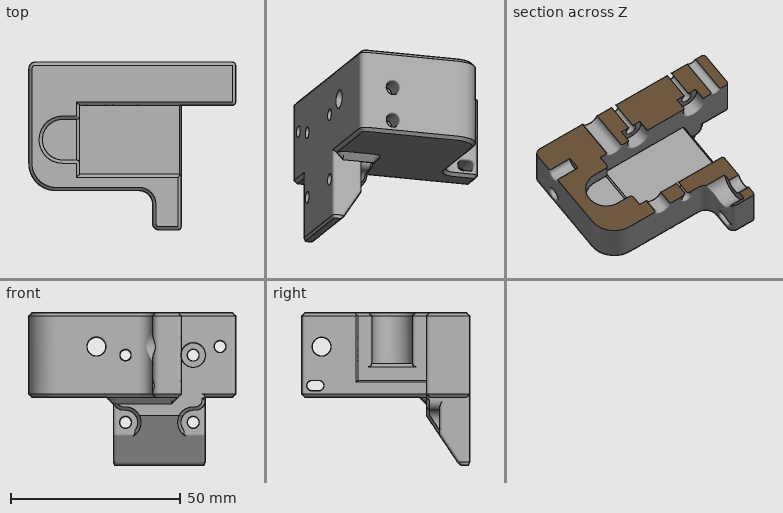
import cadquery as cq
import math


length = 61.1
height = 25.0
edge = 1.0
back_wall = 12.8
front_depth = 38.0
arm_depth = 49.6
arm_left = 36.5
arm_right = 45.0
left_front_radius = 8.0
arm_root_radius = 4.0
corner = 1.05
small_radius = 2.0

pocket_left = 15.0
pocket_front = 33.05
floor_height = 5.0
pocket_edge = 0.5
slot_radius = 6.0
slot_center_x = 10.0
slot_floor = 10.0
slot_center_depth = (back_wall + pocket_front) / 2

tail_center = 38.55
tail_width = 27.1
tail_drop = 20.05
tail_left = tail_center - tail_width / 2
tail_overlap = 3.0
slope_top = -5.3
tail_tip_depth = 3.0
tip_inset = 0.35
tail_slope = (back_wall - tail_tip_depth) / (tail_drop + slope_top)

gusset_drop = 2.0

screw_pitch = 20.0
screw_dia = 3.4
access_dia = 3.2
screw_head_dia = 7.2
screw_head_depth = 3.9
screw_xs = (tail_center - screw_pitch / 2, tail_center + screw_pitch / 2)
block_screw_z = 12.45
tail_screw_z = -7.4
recess_depth = back_wall - screw_head_depth
recess_flare = 3.0
rim = 0.5

pin_left_x = 20.0
pin_right_x = 56.45
pin_z = 14.95
pin_left_dia = 5.5
pin_right_dia = 3.4

side_hole_dia = 4.0
side_hole_rim = 0.6
side_hole_length = 7.3
side_hole_at = 10.0
side_hole_heights = (4.0, 14.0)

arm_bore_at = 43.75
arm_bore_z = 14.95
arm_bore_dia = 5.5
arm_head_dia = 10.0
arm_head_depth = 5.0
arm_head_rim = 0.3
arm_slot_at = 45.55
arm_slot_z = 3.5
arm_slot_width = 3.0
arm_slot_pitch = 2.0
arm_slot_rim = 0.6


def edge_near(body, x, depth, z):
    """Edge of the body whose middle is nearest to a point."""
    return body.edges(cq.selectors.NearestToPointSelector((x, -depth, z)))


def cylinder_back(x, z, depth, dia, reach):
    """Cylinder that starts at a depth and runs back (+Y)."""
    return cq.Workplane(cq.Solid.makeCylinder(
        dia / 2, reach, cq.Vector(x, -depth, z), cq.Vector(0, 1, 0)))


def drill_back(body, x, z, depth, dia, reach):
    """Hole that runs back from a front-facing surface, with a rounded rim."""
    drilled_body = body.cut(cylinder_back(x, z, depth, dia, reach))
    return edge_near(drilled_body, x, depth, z).fillet(rim)


def round_arm_rim(body, depth, z, width, tall, radius):
    """Round the edges where an opening of a given size meets the arm's left side."""
    mouth = cq.selectors.BoxSelector(
        (arm_left - arm_root_radius, -depth - width / 2 - rim, z - tall / 2 - rim),
        (arm_left + small_radius / 2, -depth + width / 2 + rim, z + tall / 2 + rim),
    )
    return body.edges(mouth).fillet(radius)


def make_block():
    """Solid block: outline with rounded corners and a chamfered underside."""
    body = (
        cq.Workplane("XY")
        .polyline([
            (0, 0), (length, 0), (length, -back_wall), (arm_right, -back_wall),
            (arm_right, -arm_depth), (arm_left, -arm_depth),
            (arm_left, -front_depth), (0, -front_depth),
        ])
        .close()
        .extrude(height)
    )
    corners = [
        (0, 0, small_radius),
        (length, 0, corner),
        (length, back_wall, corner),
        (arm_right, arm_depth, corner),
        (arm_left, arm_depth, small_radius),
        (arm_left, front_depth, arm_root_radius),
        (0, front_depth, left_front_radius),
    ]
    for x, depth, radius in corners:
        body = edge_near(body, x, depth, height / 2).fillet(radius)
    return body.faces("<Z").chamfer(edge)


def cut_pocket(body):
    """Pocket open to the top and right, with a round-ended slot in its left wall."""
    pocket = (
        cq.Workplane("XY")
        .box(length, pocket_front - back_wall, height, centered=False)
        .translate((pocket_left, -pocket_front, floor_height))
    )
    slot = (
        cq.Workplane("XY", origin=(0, -slot_center_depth, slot_floor))
        .moveTo(pocket_left, slot_radius)
        .lineTo(slot_center_x, slot_radius)
        .threePointArc((slot_center_x - slot_radius, 0), (slot_center_x, -slot_radius))
        .lineTo(pocket_left, -slot_radius)
        .close()
        .extrude(height)
    )
    body = body.cut(pocket).cut(slot)
    for side in (-1, 1):
        mouth_depth = slot_center_depth + side * slot_radius
        body = edge_near(body, pocket_left, mouth_depth, (slot_floor + height) / 2).fillet(corner)
    body = body.faces(">Z").chamfer(edge)
    body = edge_near(body, pocket_left, slot_center_depth, slot_floor).chamfer(edge)
    body = edge_near(body, arm_right, slot_center_depth, floor_height).chamfer(pocket_edge)
    return edge_near(body, arm_right, pocket_front, (floor_height + height) / 2).chamfer(pocket_edge)


def recess_outline(screw_x, side, depth):
    """Front outline of a screw-head recess, flared out to the tail's side (-1 left, 1 right)."""
    radius = screw_head_dia / 2
    top = tail_screw_z + radius
    bottom = tail_screw_z - radius
    side_x = tail_center + side * tail_width / 2
    outside_x = side_x + side * edge
    flare_x = side_x - side * recess_flare
    turn = recess_flare * math.sqrt(0.5)
    flare_middle = (flare_x + side * turn, top + recess_flare - turn)
    return (
        cq.Workplane("XZ", origin=(0, -depth, 0))
        .moveTo(screw_x, top)
        .lineTo(flare_x, top)
        .threePointArc(flare_middle, (side_x, top + recess_flare))
        .lineTo(outside_x, top + recess_flare)
        .lineTo(outside_x, bottom)
        .lineTo(screw_x, bottom)
        .threePointArc((screw_x - side * radius, tail_screw_z), (screw_x, top))
        .close()
    )


def make_recess(screw_x, side):
    """Recess with its rim chamfered on the upright front face and on the sloping face."""
    pocket = recess_outline(screw_x, side, recess_depth - edge).extrude(back_wall)
    rim_tool = recess_outline(screw_x, side, back_wall - edge).extrude(edge, taper=-45)
    lean = cq.Matrix([
        [1, 0, 0, 0],
        [0, 1, -tail_slope, tail_slope * slope_top],
        [0, 0, 1, 0],
    ])
    slope_rim_tool = cq.Workplane(rim_tool.val().transformGeometry(lean))
    return pocket.union(rim_tool).union(slope_rim_tool)


def make_plate(front):
    """Plate from the back face to a front depth, sloping away to the tip, with rounded sides."""
    slope_start = slope_top - (back_wall - front) / tail_slope
    plate = (
        cq.Workplane("YZ", origin=(tail_left, 0, 0))
        .polyline([
            (0, tail_overlap), (-front, tail_overlap), (-front, slope_start),
            (-tail_tip_depth, -tail_drop), (0, -tail_drop),
        ])
        .close()
        .extrude(tail_width)
    )
    return plate.faces("<X or >X").edges("not(<Z or >Z)").fillet(edge)


def make_tail():
    """Wedge-shaped tail with two screw-head recesses and a tapered tip."""
    tail = make_plate(back_wall)
    floor_plate = make_plate(recess_depth)
    kink_height = slope_top - screw_head_depth / tail_slope
    floor_plate = edge_near(floor_plate, tail_center, recess_depth, kink_height).fillet(edge)
    for screw_x, side in zip(screw_xs, (-1, 1)):
        tail = tail.cut(make_recess(screw_x, side).cut(floor_plate))
    return tail.faces("<Z").chamfer(tip_inset, edge)


def make_gusset():
    """45 degree flare from the tail up to the block's underside, ending at the right face."""
    left = tail_left
    right = arm_right - edge - gusset_drop
    back = edge + gusset_drop
    return (
        cq.Workplane("XY", origin=(0, 0, -gusset_drop))
        .moveTo(left, -back)
        .lineTo(right, -back)
        .lineTo(right, -back_wall)
        .lineTo(left + edge, -back_wall)
        .radiusArc((left, -back_wall + edge), edge)
        .close()
        .extrude(gusset_drop, taper=-45)
    )


def drill_back_wall_and_tail(body):
    """Screw holes with sunk heads, pin holes, and the front-wall holes in line with them."""
    wall = front_depth - pocket_front
    for x in screw_xs:
        body = drill_back(body, x, block_screw_z, back_wall, screw_head_dia, screw_head_depth)
        body = body.cut(cylinder_back(x, block_screw_z, back_wall, screw_dia, back_wall))
        body = drill_back(body, x, tail_screw_z, recess_depth, screw_dia, recess_depth)
    body = drill_back(body, screw_xs[0], block_screw_z, front_depth, access_dia, wall)
    body = drill_back(body, pin_left_x, pin_z, front_depth, pin_left_dia, wall)
    body = drill_back(body, pin_left_x, pin_z, back_wall, pin_left_dia, back_wall)
    return drill_back(body, pin_right_x, pin_z, back_wall, pin_right_dia, back_wall)


def drill_left_face(body):
    """Two blind holes one above the other, with rounded rims."""
    for z in side_hole_heights:
        hole = cq.Solid.makeCylinder(
            side_hole_dia / 2, side_hole_length, cq.Vector(0, -side_hole_at, z), cq.Vector(1, 0, 0))
        body = body.cut(cq.Workplane(hole))
        body = edge_near(body, 0, side_hole_at, z).fillet(side_hole_rim)
    return body


def cut_arm(body):
    """Counterbored hole and a small slot through the arm, both along X."""
    reach = arm_right - arm_left
    side = cq.Workplane("YZ", origin=(arm_left, 0, 0))
    head = (
        side.workplane(offset=-arm_root_radius)
        .center(-arm_bore_at, arm_bore_z)
        .circle(arm_head_dia / 2)
        .extrude(arm_root_radius + arm_head_depth)
    )
    through = side.center(-arm_bore_at, arm_bore_z).circle(arm_bore_dia / 2).extrude(reach)
    slot_length = arm_slot_pitch + arm_slot_width
    slot = (
        side.center(-arm_slot_at, arm_slot_z)
        .slot2D(slot_length, arm_slot_width)
        .extrude(reach)
    )
    body = body.cut(head)
    body = round_arm_rim(body, arm_bore_at, arm_bore_z, arm_head_dia, arm_head_dia, arm_head_rim)
    body = body.cut(through).cut(slot)
    return round_arm_rim(body, arm_slot_at, arm_slot_z, slot_length, arm_slot_width, arm_slot_rim)


block = cut_pocket(make_block())
joined = block.union(make_tail()).union(make_gusset())
drilled = drill_left_face(drill_back_wall_and_tail(joined))
result = cut_arm(drilled)